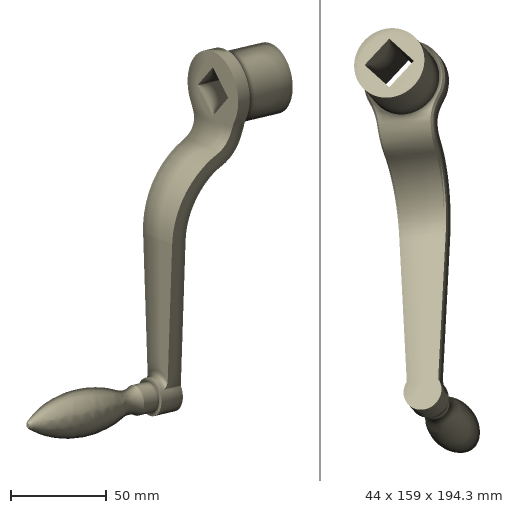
import cadquery as cq
import math


hub_radius = 19.0
flange_radius = 22.0
square_side = 18.9
flange_front_y = -37.9

arm_thickness = 8.7
arm_front_y = -74.0
bend_top_z = -15.7
bend_bottom_z = -73.5
upper_bend_radius = 14.4
arm_half_width = 12.6
arm_taper = 0.051
back_chamfer = 1.2
neck_fillet_radius = 29.1

handle_z = -159.7
boss_radius = 10.3
boss_front_y = -79.3
boss_fillet = 3.0
shank_radius = 8.2
shank_end_y = -89.0
neck_radius = 6.6
neck_y = -94.8
grip_start_radius = 7.4
grip_start_y = -99.3
grip_radius = 12.6
grip_widest_y = -123.4
grip_end_radius = 2.5
grip_end_y = -157.8
tip_radius = 1.4
tip_y = -159.0

flange_back_y = flange_front_y + arm_thickness
arm_back_y = arm_front_y + arm_thickness


def half_width(z):
    """Half the arm width on its straight tapered sides."""
    return arm_half_width + arm_taper * (z - bend_bottom_z)


def front_outline(depth):
    """Flange disc blended by concave arcs into the tapered arm, as a slab from Y = 0 to -depth."""
    slant = math.hypot(1, arm_taper)
    reach = flange_radius + neck_fillet_radius
    side_distance = half_width(0) / slant + neck_fillet_radius
    angle = math.acos(side_distance / reach) + math.atan(arm_taper)
    center_x = reach * math.cos(angle)
    center_z = -reach * math.sin(angle)
    flange_touch = (flange_radius * math.cos(angle), -flange_radius * math.sin(angle))
    side_touch = (center_x - neck_fillet_radius / slant, center_z + neck_fillet_radius * arm_taper / slant)
    toward_flange = math.pi - angle
    toward_side = math.pi - math.atan(arm_taper)
    middle = (toward_flange + toward_side) / 2
    blend_mid = (
        center_x + neck_fillet_radius * math.cos(middle),
        center_z + neck_fillet_radius * math.sin(middle),
    )
    end_x = half_width(handle_z)

    def mirrored(point):
        return (-point[0], point[1])

    return (
        cq.Workplane("XZ")
        .moveTo(*flange_touch)
        .threePointArc((0, flange_radius), mirrored(flange_touch))
        .threePointArc(mirrored(blend_mid), mirrored(side_touch))
        .lineTo(-end_x, handle_z)
        .lineTo(end_x, handle_z)
        .lineTo(*side_touch)
        .threePointArc(blend_mid, flange_touch)
        .close()
        .extrude(depth)
    )


def bend_points(start_y, end_y, upper_radius):
    """Tangent S-bend from start_y down to end_y: upper arc middle, join, lower arc middle, end."""
    drop = bend_top_z - bend_bottom_z
    sweep = 2 * math.atan((start_y - end_y) / drop)
    lower_radius = drop / math.sin(sweep) - upper_radius

    def upper_point(angle):
        y = start_y - upper_radius * (1 - math.cos(angle))
        return (y, bend_top_z - upper_radius * math.sin(angle))

    lower_middle = (
        end_y + lower_radius * (1 - math.cos(sweep / 2)),
        bend_bottom_z + lower_radius * math.sin(sweep / 2),
    )
    return upper_point(sweep / 2), upper_point(sweep), lower_middle, (end_y, bend_bottom_z)


def side_profile(back_y):
    """S-bent strip, as wide as the flange, whose back face starts at back_y behind the flange."""
    front_upper, front_join, front_lower, front_end = bend_points(
        flange_front_y, arm_front_y, upper_bend_radius
    )
    back_upper, back_join, back_lower, back_end = bend_points(
        back_y, arm_back_y, upper_bend_radius + back_y - flange_front_y
    )
    return (
        cq.Workplane("YZ")
        .moveTo(flange_front_y, flange_radius)
        .lineTo(flange_front_y, bend_top_z)
        .threePointArc(front_upper, front_join)
        .threePointArc(front_lower, front_end)
        .lineTo(arm_front_y, handle_z)
        .lineTo(arm_back_y, handle_z)
        .lineTo(*back_end)
        .threePointArc(back_lower, back_join)
        .threePointArc(back_upper, (back_y, bend_top_z))
        .lineTo(back_y, flange_radius)
        .close()
        .extrude(flange_radius, both=True)
    )


def revolve_about_handle(profile):
    """Turn a closed (radius, Y) profile about the handle axis."""
    return profile.close().revolve(360, (0, 0, 0), (0, 1, 0)).translate((0, 0, handle_z))


def handle():
    """Boss, shank, waist and barrel-shaped grip turned in one piece."""
    return revolve_about_handle(
        cq.Workplane("XY")
        .moveTo(0, arm_back_y)
        .lineTo(boss_radius, arm_back_y)
        .lineTo(boss_radius, boss_front_y)
        .lineTo(shank_radius, boss_front_y)
        .lineTo(shank_radius, shank_end_y)
        .threePointArc((neck_radius, neck_y), (grip_start_radius, grip_start_y))
        .threePointArc((grip_radius, grip_widest_y), (grip_end_radius, grip_end_y))
        .lineTo(tip_radius, tip_y)
        .lineTo(0, tip_y)
    )


def boss_flare():
    """Concave ring that blends the boss into the arm's front face."""
    center_radius = boss_radius + boss_fillet
    center_y = arm_front_y - boss_fillet
    diagonal = boss_fillet * math.sqrt(0.5)
    return revolve_about_handle(
        cq.Workplane("XY")
        .moveTo(0, arm_front_y)
        .lineTo(center_radius, arm_front_y)
        .threePointArc((center_radius - diagonal, center_y + diagonal), (boss_radius, center_y))
        .lineTo(0, center_y)
    )


outline = front_outline(-boss_front_y)

arm = outline.intersect(side_profile(flange_back_y))
rim_start = cq.selectors.NearestToPointSelector((0, flange_back_y, flange_radius))
arm = arm.edges(rim_start).chamfer(back_chamfer)
arm = arm.union(outline.intersect(side_profile(flange_back_y - back_chamfer)))
flare = outline.intersect(boss_flare())
hub = cq.Workplane("XZ").circle(hub_radius).extrude(-flange_front_y)
square_hole = cq.Workplane("XZ").rect(square_side, square_side).extrude(-flange_front_y)
square_hole = square_hole.rotate((0, 0, 0), (0, 1, 0), 45)

result = arm.union(hub).union(handle()).union(flare).cut(square_hole)